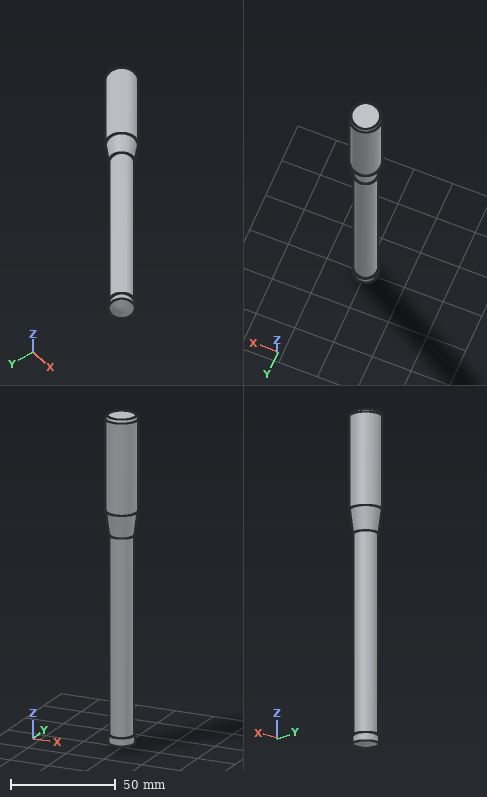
import cadquery as cq
import math

total_length = 167.2

shank_diameter = 15.9
shank_length = 48.2
shank_chamfer_height = 1.7
shank_chamfer_width = 1.0
collar_start_diameter = 15.4
collar_end_diameter = 12.4
collar_length = 12.0
neck_diameter = 11.9

head_diameter = 12.7
head_height = 6.5
point_angle = 140.0

shank_radius = shank_diameter / 2
collar_start_radius = collar_start_diameter / 2
collar_end_radius = collar_end_diameter / 2
neck_radius = neck_diameter / 2
head_radius = head_diameter / 2
shank_bottom = total_length - shank_length
collar_bottom = shank_bottom - collar_length
point_height = head_radius / math.tan(math.radians(point_angle / 2))


def revolve_profile(points):
    """Revolve a closed (radius, height) outline about the Z axis."""
    return cq.Workplane("XZ").polyline(points).close().revolve(360, (0, 0, 0), (0, 1, 0))


def make_drill_body():
    """Shank, collar and neck, resting on the flat top of the cutting head."""
    return revolve_profile([
        (0, head_height),
        (neck_radius, head_height),
        (neck_radius, collar_bottom),
        (collar_end_radius, collar_bottom),
        (collar_start_radius, shank_bottom),
        (shank_radius, shank_bottom),
        (shank_radius, total_length - shank_chamfer_height),
        (shank_radius - shank_chamfer_width, total_length),
        (0, total_length),
    ])


def make_cutting_head():
    """Cylindrical head with its conical point facing down."""
    return revolve_profile([
        (0, 0),
        (head_radius, point_height),
        (head_radius, head_height),
        (0, head_height),
    ])


drill_body = make_drill_body()
cutting_head = make_cutting_head()

result = cq.Compound.makeCompound([drill_body.val(), cutting_head.val()])